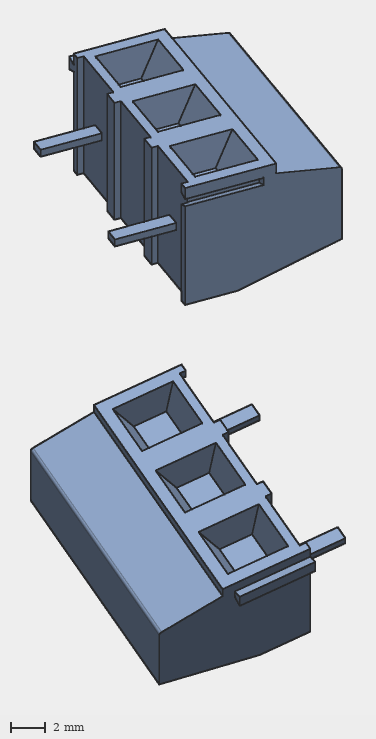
import cadquery as cq

poles = 3
overall_length = 15.6
dovetail_depth = 0.6
body_length = overall_length - dovetail_depth
pitch = body_length / poles
body_depth = 10.0
body_height = 8.2

head_depth = 5.8
step_height = 0.69
back_top_drop = 1.5
back_edge_radius = 0.2
back_bottom_rise = 1.67
base_depth = 3.35

rib_width = 1.0
rib_depth = 0.4

pocket_width = 3.42
pocket_near = 1.01
pocket_far = 5.0
floor_width = 2.81
floor_near = 1.64
floor_far = 3.79
pocket_depth = 2.18

dovetail_width = 0.9
dovetail_neck = 0.5
dovetail_length = 5.0
dovetail_z = body_height - 1.03

pin_width = 0.9
pin_thickness = 0.5
pin_length = 3.5
pin_root = 0.15
pin_poles = (0, 2)


def pole_center(index):
    return (index + 0.5) * pitch


def make_body():
    back_top = body_height - back_top_drop
    profile = [
        (0, 0),
        (base_depth, 0),
        (body_depth, back_bottom_rise),
        (body_depth, back_top),
        (head_depth, body_height - step_height),
        (head_depth, body_height),
        (0, body_height),
    ]
    body = cq.Workplane("YZ").polyline(profile).close().extrude(body_length)
    return body.faces(">Y").edges(">Z").fillet(back_edge_radius)


def make_rib_gap(index):
    """Recess between two neighbouring ribs; end ribs are half as wide."""
    return (
        cq.Workplane("XY")
        .center(pole_center(index), rib_depth / 2)
        .rect(pitch - rib_width, rib_depth)
        .extrude(body_height)
    )


def make_pocket(index):
    return (
        cq.Workplane("XY", origin=(pole_center(index), 0, body_height))
        .center(0, (pocket_near + pocket_far) / 2)
        .rect(pocket_width, pocket_far - pocket_near)
        .workplane(offset=-pocket_depth)
        .center(0, (floor_near + floor_far - pocket_near - pocket_far) / 2)
        .rect(floor_width, floor_far - floor_near)
        .loft(ruled=True)
    )


def make_dovetail(neck_x):
    """Dovetail prism that widens from neck_x toward -X."""
    profile = [
        (neck_x, dovetail_z - dovetail_neck / 2),
        (neck_x, dovetail_z + dovetail_neck / 2),
        (neck_x - dovetail_depth, dovetail_z + dovetail_width / 2),
        (neck_x - dovetail_depth, dovetail_z - dovetail_width / 2),
    ]
    return cq.Workplane("XZ").polyline(profile).close().extrude(-dovetail_length)


def make_pin(index):
    return (
        cq.Workplane("XZ", origin=(pole_center(index), rib_depth + pin_root, body_height / 2))
        .rect(pin_width, pin_thickness)
        .extrude(pin_length + rib_depth + pin_root)
    )


result = make_body()
for pole in range(poles):
    result = result.cut(make_rib_gap(pole)).cut(make_pocket(pole))
result = result.cut(make_dovetail(body_length)).union(make_dovetail(0))
for pole in pin_poles:
    result = result.union(make_pin(pole))